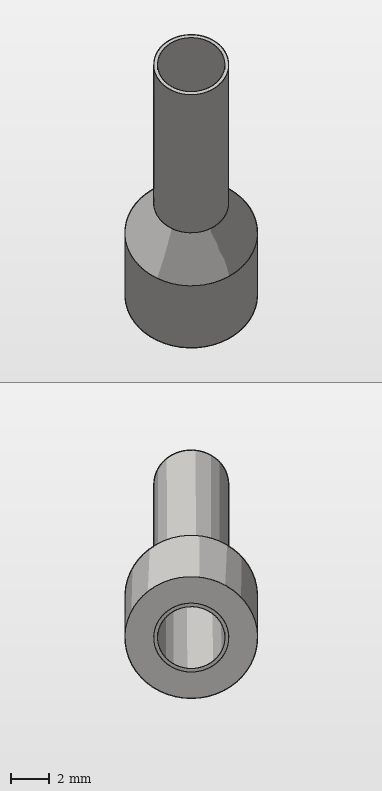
import cadquery as cq

total_length = 20.0
tube_diameter = 3.9
wall_thickness = 0.2
collar_diameter = 6.9
collar_length = 8.0
collar_straight_length = 5.4

tube_radius = tube_diameter / 2
bore_radius = tube_radius - wall_thickness
collar_radius = collar_diameter / 2


def make_tube():
    """Thin-walled tube running the full length of the ferrule."""
    return cq.Workplane("XY").circle(tube_radius).circle(bore_radius).extrude(total_length)


def make_collar():
    """Collar with a cylindrical base, tapering to the tube's outer surface."""
    half_section = (
        cq.Workplane("XZ")
        .moveTo(tube_radius, 0)
        .lineTo(collar_radius, 0)
        .lineTo(collar_radius, collar_straight_length)
        .lineTo(tube_radius, collar_length)
        .close()
    )
    return half_section.revolve(360, (0, 0, 0), (0, 1, 0))


tube = make_tube()
collar = make_collar()

result = cq.Compound.makeCompound([tube.val(), collar.val()])